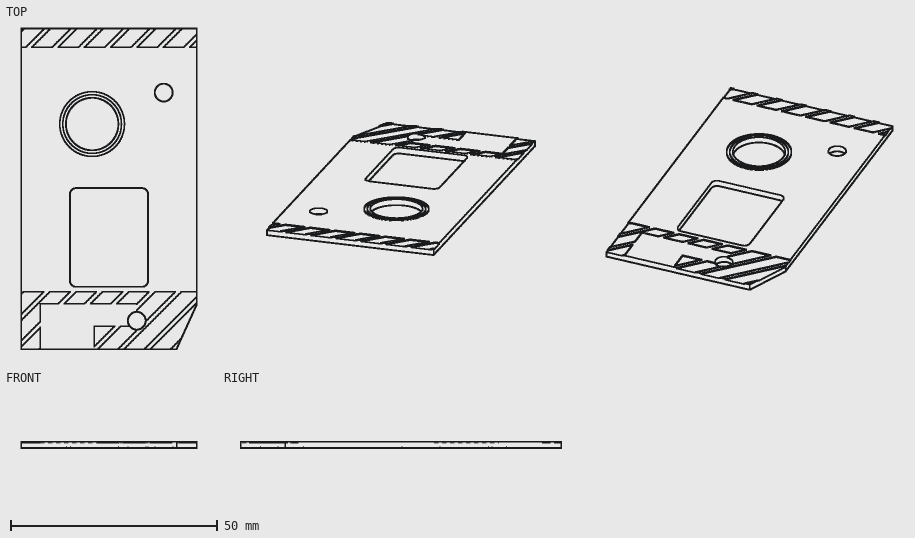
import cadquery as cq
import math

WIDTH = 42.55
LENGTH = 77.8
THICKNESS = 1.55
CORNER_CUT_X = 4.9
CORNER_CUT_Y = 10.8

SMALL_HOLE_DIAMETER = 4.3
UPPER_HOLE_CENTER = (34.5, 62.2)
LABEL_HOLE_CENTER = (28.0, 6.9)
LARGE_HOLE_DIAMETER = 12.7
LARGE_HOLE_CENTER = (17.2, 54.6)
WINDOW_LEFT = 11.8
WINDOW_BOTTOM = 15.2
WINDOW_WIDTH = 18.9
WINDOW_HEIGHT = 23.9
WINDOW_CORNER_RADIUS = 1.5

ENGRAVING_DEPTH = 0.2
RING_INNER_DIAMETER = 14.2
RING_OUTER_DIAMETER = 15.7

TOP_STRIP_HEIGHT = 4.6
BOTTOM_STRIP_HEIGHT = 13.9
STRIPE_PITCH = 6.4
STRIPE_WIDTH = 1.5
STRIPE_ANGLE = 45.0
TOP_STRIPE_START = 5.7
BOTTOM_STRIPE_START = 5.45
FIRST_STRIPE = -1
STRIPE_COUNT = 9

LABEL_LEFT = 4.7
LABEL_RIGHT = LABEL_HOLE_CENTER[0]
LABEL_TOP = 11.05
LABEL_STEP_X = 17.65
LABEL_STEP_Y = 5.6


def make_plate():
    """Flat plate with its lower right corner cut off."""
    outline = [
        (0, 0),
        (WIDTH - CORNER_CUT_X, 0),
        (WIDTH, CORNER_CUT_Y),
        (WIDTH, LENGTH),
        (0, LENGTH),
    ]
    return cq.Workplane("XY").polyline(outline).close().extrude(THICKNESS)


def make_openings():
    """Through cutters for the round holes and the rounded window."""
    small_holes = (
        cq.Workplane("XY")
        .pushPoints([UPPER_HOLE_CENTER, LABEL_HOLE_CENTER])
        .circle(SMALL_HOLE_DIAMETER / 2)
        .extrude(THICKNESS)
    )
    large_hole = (
        cq.Workplane("XY")
        .center(*LARGE_HOLE_CENTER)
        .circle(LARGE_HOLE_DIAMETER / 2)
        .extrude(THICKNESS)
    )
    window = (
        cq.Workplane("XY")
        .rect(WINDOW_WIDTH, WINDOW_HEIGHT)
        .extrude(THICKNESS)
        .edges("|Z")
        .fillet(WINDOW_CORNER_RADIUS)
        .translate((WINDOW_LEFT + WINDOW_WIDTH / 2, WINDOW_BOTTOM + WINDOW_HEIGHT / 2, 0))
    )
    return small_holes.union(large_hole).union(window)


def engraving_plane():
    """Floor level of everything engraved into the top face."""
    return cq.Workplane("XY").workplane(offset=THICKNESS - ENGRAVING_DEPTH)


def make_ring_groove():
    return (
        engraving_plane()
        .center(*LARGE_HOLE_CENTER)
        .circle(RING_OUTER_DIAMETER / 2)
        .circle(RING_INNER_DIAMETER / 2)
        .extrude(ENGRAVING_DEPTH)
    )


def make_strip_bands(bottom, height, stripe_start):
    """Sunk bands of a full-width strip, with the slanted stripes left standing."""
    strip = engraving_plane().rect(WIDTH, height).extrude(ENGRAVING_DEPTH)
    bands = strip.translate((WIDTH / 2, bottom + height / 2, 0))
    lean = height / math.tan(math.radians(STRIPE_ANGLE))
    for index in range(FIRST_STRIPE, FIRST_STRIPE + STRIPE_COUNT):
        left = stripe_start + index * STRIPE_PITCH
        stripe_outline = [
            (left, bottom + height),
            (left + STRIPE_WIDTH, bottom + height),
            (left + STRIPE_WIDTH - lean, bottom),
            (left - lean, bottom),
        ]
        stripe = engraving_plane().polyline(stripe_outline).close().extrude(ENGRAVING_DEPTH)
        bands = bands.cut(stripe)
    return bands


def make_label_field():
    """Stepped area kept out of the bottom strip's bands."""
    outline = [
        (LABEL_LEFT, 0),
        (LABEL_STEP_X, 0),
        (LABEL_STEP_X, LABEL_STEP_Y),
        (LABEL_RIGHT, LABEL_STEP_Y),
        (LABEL_RIGHT, LABEL_TOP),
        (LABEL_LEFT, LABEL_TOP),
    ]
    return engraving_plane().polyline(outline).close().extrude(ENGRAVING_DEPTH)


top_bands = make_strip_bands(LENGTH - TOP_STRIP_HEIGHT, TOP_STRIP_HEIGHT, TOP_STRIPE_START)
bottom_bands = make_strip_bands(0, BOTTOM_STRIP_HEIGHT, BOTTOM_STRIPE_START).cut(make_label_field())

result = (
    make_plate()
    .cut(make_openings())
    .cut(make_ring_groove())
    .cut(top_bands)
    .cut(bottom_bands)
)